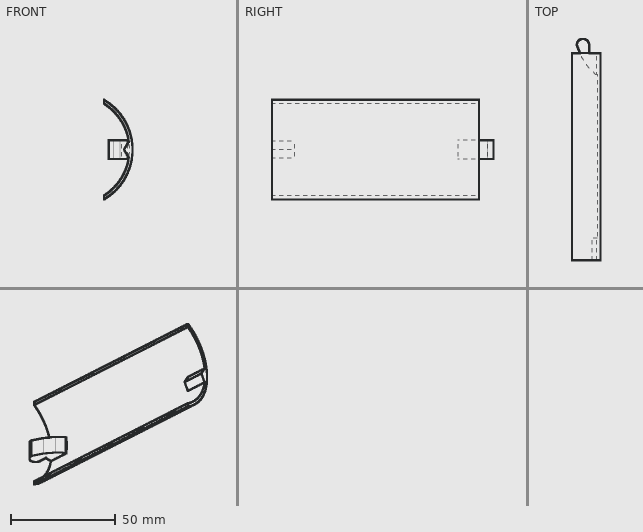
import cadquery as cq
import math

outer_radius = 27.7
wall = 1.6
inner_radius = outer_radius - wall
edge_x = outer_radius / 2
shell_length = 99.6

overall_length = 106.5
tab_width = 9.0
tip_diameter = 6.1
tip_radius = tip_diameter / 2
tip_center_x = edge_x + 5.3
tip_center_y = overall_length - tip_radius
tab_bends = [
    (4.6, 8.7),
    (7.8, 13.5),
    (11.3, 17.0),
]

rib_length = 10.9
rib_half_width = 4.0
rib_apex_x = edge_x + 9.7

root_x = inner_radius + wall / 2


def make_shell():
    """Tube slice with flat, parallel long edges."""
    outer_z = math.sqrt(outer_radius**2 - edge_x**2)
    inner_z = math.sqrt(inner_radius**2 - edge_x**2)
    return (
        cq.Workplane("XZ")
        .moveTo(edge_x, -outer_z)
        .threePointArc((outer_radius, 0), (edge_x, outer_z))
        .lineTo(edge_x, inner_z)
        .threePointArc((inner_radius, 0), (edge_x, -inner_z))
        .close()
        .extrude(-shell_length)
    )


def make_tab():
    """Hook rooted in the wall, with a rounded tip beyond the shell end."""
    outline = (
        cq.Workplane("XY", origin=(0, 0, -tab_width / 2))
        .moveTo(root_x, shell_length)
        .lineTo(tip_center_x + tip_radius, shell_length)
        .lineTo(tip_center_x + tip_radius, tip_center_y)
        .threePointArc(
            (tip_center_x, overall_length),
            (tip_center_x - tip_radius, tip_center_y),
        )
    )
    for bend_x, bend_depth in tab_bends:
        outline = outline.lineTo(edge_x + bend_x, overall_length - bend_depth)
    last_bend_depth = tab_bends[-1][1]
    return (
        outline.lineTo(root_x, overall_length - last_bend_depth)
        .close()
        .extrude(tab_width)
    )


def make_rib():
    """Triangular rib whose flanks meet the inner wall at its half width."""
    foot_x = math.sqrt(inner_radius**2 - rib_half_width**2)
    return (
        cq.Workplane("XZ")
        .moveTo(rib_apex_x, 0)
        .lineTo(foot_x, rib_half_width)
        .lineTo(root_x, rib_half_width)
        .lineTo(root_x, -rib_half_width)
        .lineTo(foot_x, -rib_half_width)
        .close()
        .extrude(-rib_length)
    )


result = make_shell().union(make_tab()).union(make_rib())